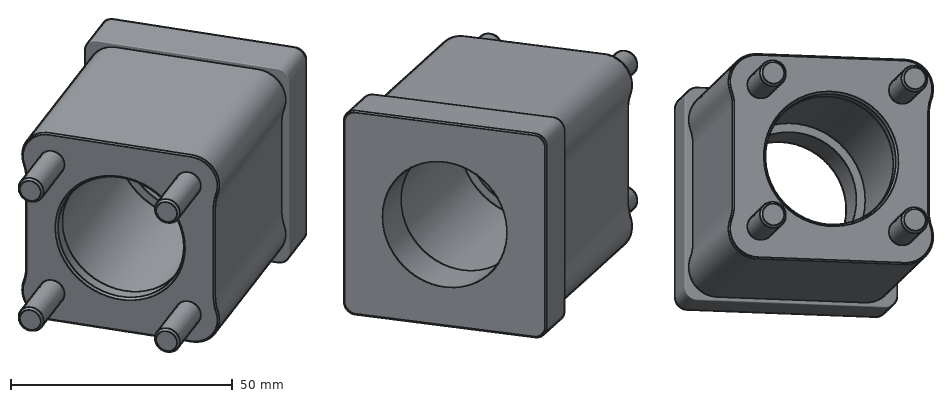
import cadquery as cq
import math

total_length = 73.0
flange_length = 12.0
pin_projection = 15.0
body_length = total_length - flange_length - pin_projection
back_y = total_length / 2
flange_front_y = back_y - flange_length
body_front_y = flange_front_y - body_length

flange_width = 49.0
flange_corner_radius = 2.9
flange_back_chamfer = 0.4
flange_front_fillet = 0.2

body_half_width = 23.6
corner_radius = 6.65
recess_half_width = 22.6
recess_blend_radius = 10.45
body_edge_chamfer = 0.4

pin_diameter = 6.0
pin_offset = 16.3
pin_chamfer = 0.5

bore_diameter = 30.0
chamber_diameter = 34.0
lip_length = 3.5
bore_chamfer = 0.5


def extrude_forward(start_y):
    """Sketch plane at start_y whose normal points along -Y."""
    return cq.Workplane("XZ", origin=(0, start_y, 0))


def make_flange():
    flange = extrude_forward(back_y).rect(flange_width, flange_width).extrude(flange_length)
    flange = flange.edges("|Y").fillet(flange_corner_radius)
    flange = flange.faces(">Y").edges().chamfer(flange_back_chamfer)
    return flange.faces("<Y").edges().fillet(flange_front_fillet)


def make_body():
    corner_center = body_half_width - corner_radius
    blend_center_x = recess_half_width + recess_blend_radius
    blend_dx = blend_center_x - corner_center
    center_distance = corner_radius + recess_blend_radius
    blend_dz = math.sqrt(center_distance**2 - blend_dx**2)
    flat_half_height = corner_center - blend_dz
    corner_share = corner_radius / center_distance
    join_x = corner_center + blend_dx * corner_share
    join_z = corner_center - blend_dz * corner_share

    outline = (
        extrude_forward(flange_front_y)
        .moveTo(recess_half_width, -flat_half_height)
        .lineTo(recess_half_width, flat_half_height)
        .tangentArcPoint((join_x, join_z), relative=False)
        .tangentArcPoint((corner_center, body_half_width), relative=False)
        .lineTo(-corner_center, body_half_width)
        .tangentArcPoint((-join_x, join_z), relative=False)
        .tangentArcPoint((-recess_half_width, flat_half_height), relative=False)
        .lineTo(-recess_half_width, -flat_half_height)
        .tangentArcPoint((-join_x, -join_z), relative=False)
        .tangentArcPoint((-corner_center, -body_half_width), relative=False)
        .lineTo(corner_center, -body_half_width)
        .tangentArcPoint((join_x, -join_z), relative=False)
        .tangentArcPoint((recess_half_width, -flat_half_height), relative=False)
        .close()
    )
    return outline.extrude(body_length).faces("<Y").chamfer(body_edge_chamfer)


def make_pins():
    pins = (
        extrude_forward(body_front_y)
        .rect(2 * pin_offset, 2 * pin_offset, forConstruction=True)
        .vertices()
        .circle(pin_diameter / 2)
        .extrude(pin_projection)
    )
    return pins.faces("<Y").chamfer(pin_chamfer)


def make_bore():
    """Through bore with a chamfered mouth and a wider chamber behind the front lip."""
    bore_radius = bore_diameter / 2
    bore = extrude_forward(back_y).circle(bore_radius).extrude(flange_length + body_length)
    chamber = (
        extrude_forward(flange_front_y)
        .circle(chamber_diameter / 2)
        .extrude(body_length - lip_length)
    )
    mouth = cq.Workplane("XY").add(
        cq.Solid.makeCone(
            bore_radius + bore_chamfer,
            bore_radius,
            bore_chamfer,
            pnt=cq.Vector(0, body_front_y, 0),
            dir=cq.Vector(0, 1, 0),
        )
    )
    return bore.union(chamber).union(mouth)


result = make_flange().union(make_body()).union(make_pins()).cut(make_bore())